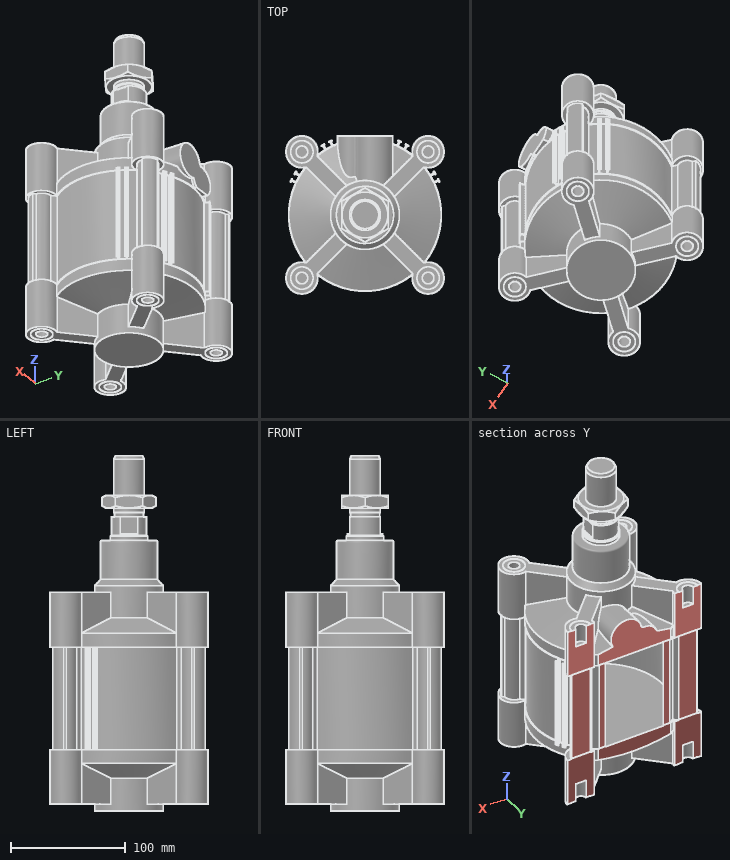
import cadquery as cq
import math

TOTAL_HEIGHT = 310.0
PILLAR_BOTTOM = 6.2
REAR_CONE_BOTTOM = 28.8
REAR_RIM_BOTTOM = 42.0
BARREL_BOTTOM = 53.5
BARREL_TOP = 143.0
FRONT_RIM_TOP = 155.0
FRONT_CONE_TOP = 168.5
PILLAR_TOP = 191.0
COLLAR_TOP = 196.5
NOSE_BASE = 202.0
NOSE_TOP = 236.2
LIP_TOP = 240.5
FLAT_BOTTOM = 241.8
FLAT_TOP = 256.7
THREAD_BOTTOM = 260.0
NUT_BOTTOM = 264.0
NUT_TOP = 275.5

RIM_DIAMETER = 133.3
COLLAR_DIAMETER = 60.0
NOSE_DIAMETER = 50.0
NOSE_FILLET = 2.0
LIP_DIAMETER = 33.0
LIP_CHAMFER = 1.0
PILLAR_DIAMETER = 28.0
OUTER_WIDTH = 138.0
PILLAR_OFFSET = (OUTER_WIDTH - PILLAR_DIAMETER) / 2
PILLAR_RADIUS_FROM_AXIS = PILLAR_OFFSET * math.sqrt(2)
RIB_THICKNESS = 13.5
BOLT_HOLE_DIAMETER = 10.2
BOLT_HOLE_DEPTH = 18.5
SPOTFACE_DIAMETER = 19.5
SPOTFACE_DEPTH = 0.3

PORT_DIAMETER = 32.0
PORT_X = 8.5
PORT_Z = 165.2
VALVE_DIAMETER = 27.0
VALVE_X = -10.5
VALVE_Z = 153.5
BOSS_FILLET = 2.5
BOSS_START_Y = COLLAR_DIAMETER / 4
BOSS_END_Y = OUTER_WIDTH / 2

BARREL_DIAMETER = 132.0
BORE_DIAMETER = 125.0
LOBE_DIAMETER = 19.0
WEB_THICKNESS = RIB_THICKNESS
RIDGE_DIAMETER = 23.5
RAIL_ANGLES = (25.2, 31.1)
RAIL_STEM_THICKNESS = 1.0
RAIL_HEAD_WIDTH = 3.0
RAIL_HEAD_THICKNESS = 0.5
RAIL_TIP_RADIUS = 71.3

ROD_DIAMETER = 30.7
THREAD_DIAMETER = 27.0
NECK_DIAMETER = 25.7
TIP_CHAMFER_HEIGHT = 3.0
TIP_CHAMFER_WIDTH = 1.5
THREAD_LEAD_IN = (THREAD_DIAMETER - NECK_DIAMETER) / 2
ROD_FLAT_WIDTH = 26.7
NUT_ACROSS_FLATS = 41.0
NUT_FACE_DIAMETER = 40.0
NUT_CHAMFER_ANGLE = 30.0

CORNER_ANGLES = (45, 135, 225, 315)


def cylinder(diameter, bottom, top, x=0.0, y=0.0):
    return cq.Workplane("XY", origin=(x, y, bottom)).circle(diameter / 2).extrude(top - bottom)


def block(width_x, width_y, bottom, top, x=0.0, y=0.0):
    return cq.Workplane("XY", origin=(x, y, bottom)).rect(width_x, width_y).extrude(top - bottom)


def revolve_profile(points):
    """Turn a list of (radius, z) points about the Z axis."""
    return cq.Workplane("XZ").polyline(points).close().revolve(360, (0, 0), (0, 1))


def corner_arm(angle, bottom, top, thickness, length=PILLAR_RADIUS_FROM_AXIS):
    """A radial plate from the axis, by default to the corner pillar's center."""
    arm = block(length, thickness, bottom, top, length / 2)
    return arm.rotate((0, 0, 0), (0, 0, 1), angle)


def corner_point(angle):
    return (
        PILLAR_RADIUS_FROM_AXIS * math.cos(math.radians(angle)),
        PILLAR_RADIUS_FROM_AXIS * math.sin(math.radians(angle)),
    )


def add_pillars(cap, bottom, top):
    for angle in CORNER_ANGLES:
        x, y = corner_point(angle)
        cap = cap.union(corner_arm(angle, bottom, top, RIB_THICKNESS))
        cap = cap.union(cylinder(PILLAR_DIAMETER, bottom, top, x, y))
    return cap


def drill_pillars(cap, end_z, inward):
    """Spotfaced bolt holes in the outer pillar ends; inward is the drilling direction along Z."""
    for angle in CORNER_ANGLES:
        x, y = corner_point(angle)
        end = cq.Workplane("XY", origin=(x, y, end_z))
        cap = cap.cut(end.circle(BOLT_HOLE_DIAMETER / 2).extrude(inward * BOLT_HOLE_DEPTH))
        cap = cap.cut(end.circle(SPOTFACE_DIAMETER / 2).extrude(inward * SPOTFACE_DEPTH))
    return cap


def port_boss(diameter, x, z):
    """A round boss that ends flush with the +Y side."""
    outline = cq.Workplane("XZ", origin=(x, BOSS_START_Y, z)).circle(diameter / 2)
    return outline.extrude(BOSS_START_Y - BOSS_END_Y)


def port_bosses():
    """Port boss and lower valve boss, filleted in the groove between and cut flush with the barrel end."""
    bosses = port_boss(PORT_DIAMETER, PORT_X, PORT_Z)
    bosses = bosses.union(port_boss(VALVE_DIAMETER, VALVE_X, VALVE_Z))
    groove = (PORT_X - PORT_DIAMETER / 2, (BOSS_START_Y + BOSS_END_Y) / 2, PORT_Z)
    groove_edge = cq.selectors.NearestToPointSelector(groove)
    bosses = bosses.edges("|Y").edges(groove_edge).fillet(BOSS_FILLET)
    return bosses.cut(block(OUTER_WIDTH, OUTER_WIDTH, BARREL_BOTTOM, BARREL_TOP))


def make_front_cap():
    rim, collar, nose = RIM_DIAMETER / 2, COLLAR_DIAMETER / 2, NOSE_DIAMETER / 2
    cap = revolve_profile([
        (0, BARREL_TOP),
        (rim, BARREL_TOP),
        (rim, FRONT_RIM_TOP),
        (collar, FRONT_CONE_TOP),
        (collar, COLLAR_TOP),
        (nose, NOSE_BASE),
        (nose, NOSE_TOP),
        (0, NOSE_TOP),
    ])
    cap = cap.faces(">Z").edges().fillet(NOSE_FILLET)
    lip = cylinder(LIP_DIAMETER, BARREL_TOP, LIP_TOP).faces(">Z").chamfer(LIP_CHAMFER)
    cap = cap.union(lip)
    cap = add_pillars(cap, BARREL_TOP, PILLAR_TOP)
    cap = cap.union(port_bosses())
    cap = drill_pillars(cap, PILLAR_TOP, -1)
    return cap.cut(cylinder(ROD_DIAMETER, BARREL_TOP, LIP_TOP))


def make_rear_cap():
    rim, collar = RIM_DIAMETER / 2, COLLAR_DIAMETER / 2
    cap = revolve_profile([
        (0, 0),
        (collar, 0),
        (collar, REAR_CONE_BOTTOM),
        (rim, REAR_RIM_BOTTOM),
        (rim, BARREL_BOTTOM),
        (0, BARREL_BOTTOM),
    ])
    cap = add_pillars(cap, PILLAR_BOTTOM, BARREL_BOTTOM)
    return drill_pillars(cap, PILLAR_BOTTOM, 1)


def barrel_lobe(angle):
    """Round corner lobe on a radial web; the web passes through it to a wider rounded ridge."""
    levels = (BARREL_BOTTOM, BARREL_TOP)
    x, y = corner_point(angle)
    lobe = cylinder(LOBE_DIAMETER, *levels, x, y)
    ridge_end = PILLAR_RADIUS_FROM_AXIS + RIDGE_DIAMETER / 2
    ridge_zone = corner_arm(angle, *levels, WEB_THICKNESS, ridge_end)
    ridge = cylinder(RIDGE_DIAMETER, *levels, x, y).intersect(ridge_zone)
    return lobe.union(ridge).union(corner_arm(angle, *levels, WEB_THICKNESS))


def rail(angle):
    """T-shaped sensor rail along the barrel."""
    levels = (BARREL_BOTTOM, BARREL_TOP)
    root = (BORE_DIAMETER + BARREL_DIAMETER) / 4
    length = RAIL_TIP_RADIUS - root
    stem = block(length, RAIL_STEM_THICKNESS, *levels, root + length / 2)
    head_center = RAIL_TIP_RADIUS - RAIL_HEAD_THICKNESS / 2
    head = block(RAIL_HEAD_THICKNESS, RAIL_HEAD_WIDTH, *levels, head_center)
    profile = stem.union(head)
    return profile.rotate((0, 0, 0), (0, 0, 1), angle)


def make_barrel():
    barrel = cylinder(BARREL_DIAMETER, BARREL_BOTTOM, BARREL_TOP)
    for angle in CORNER_ANGLES:
        barrel = barrel.union(barrel_lobe(angle))
    for angle in RAIL_ANGLES:
        for rail_angle in (angle, 90 - angle, 90 + angle, 180 - angle):
            barrel = barrel.union(rail(rail_angle))
    return barrel.cut(cylinder(BORE_DIAMETER, BARREL_BOTTOM, BARREL_TOP))


def make_rod():
    rod_radius, neck, thread = ROD_DIAMETER / 2, NECK_DIAMETER / 2, THREAD_DIAMETER / 2
    rod = revolve_profile([
        (0, BARREL_TOP),
        (rod_radius, BARREL_TOP),
        (rod_radius, FLAT_TOP),
        (neck, FLAT_TOP),
        (neck, THREAD_BOTTOM),
        (thread, THREAD_BOTTOM + THREAD_LEAD_IN),
        (thread, TOTAL_HEIGHT - TIP_CHAMFER_HEIGHT),
        (thread - TIP_CHAMFER_WIDTH, TOTAL_HEIGHT),
        (0, TOTAL_HEIGHT),
    ])
    slab = block(ROD_DIAMETER, ROD_DIAMETER, FLAT_BOTTOM, FLAT_TOP)
    core = block(ROD_FLAT_WIDTH, ROD_DIAMETER, FLAT_BOTTOM, FLAT_TOP)
    return rod.cut(slab.cut(core))


def make_nut():
    """Hexagon nut with flats facing X and both ends chamfered."""
    across_corners = NUT_ACROSS_FLATS / math.cos(math.pi / 6)
    drop = (across_corners - NUT_FACE_DIAMETER) / 2 * math.tan(math.radians(NUT_CHAMFER_ANGLE))
    hexagon = cq.Workplane("XY", origin=(0, 0, NUT_BOTTOM)).polygon(6, across_corners)
    nut = hexagon.extrude(NUT_TOP - NUT_BOTTOM).rotate((0, 0, 0), (0, 0, 1), 90)
    envelope = revolve_profile([
        (0, NUT_BOTTOM),
        (NUT_FACE_DIAMETER / 2, NUT_BOTTOM),
        (across_corners / 2, NUT_BOTTOM + drop),
        (across_corners / 2, NUT_TOP - drop),
        (NUT_FACE_DIAMETER / 2, NUT_TOP),
        (0, NUT_TOP),
    ])
    return nut.intersect(envelope).cut(cylinder(THREAD_DIAMETER, NUT_BOTTOM, NUT_TOP))


front_cap = make_front_cap()
barrel = make_barrel()
rear_cap = make_rear_cap()
rod = make_rod()
nut = make_nut()

result = cq.Compound.makeCompound([
    front_cap.val(),
    barrel.val(),
    rear_cap.val(),
    rod.val(),
    nut.val(),
])